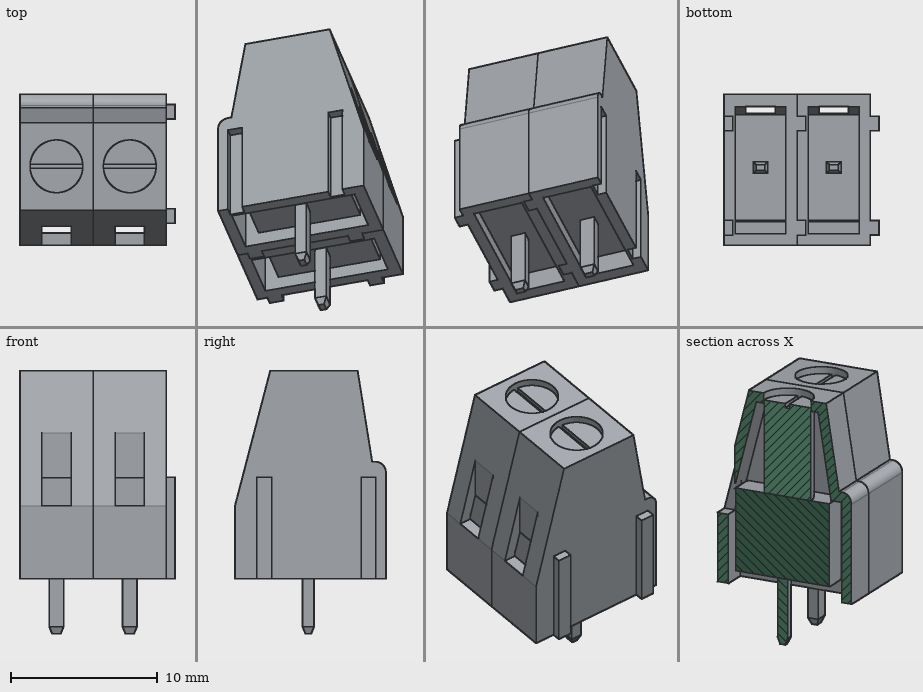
import cadquery as cq
import math


pole_count = 2
pitch = 5.0

depth = 10.3
height = 14.2
front_height = 5.0
top_front = 2.4
top_back = 8.37
step_back = 9.36
step_height = 8.0
step_radius = 0.75
wall = 0.77
lower_front_wall = 0.85

window_width = 2.0
window_depth = 1.29

rib_width = 1.0
rib_thickness = 0.6
rib_height = 6.93
rib_centers = (2.0, 9.1)

screw_diameter = 3.6
screw_recess = 0.5
slot_width = 0.3
slot_depth = 0.3

clamp_front = 1.4
clamp_bottom = 1.0
clamp_top = 7.0
pin_width = 1.0
pin_depth = 0.8
pin_length = 3.75
pin_tip_length = 0.5
pin_tip_inset = 0.2

pole_center = pitch / 2
pin_y = 5.0
screw_y = (top_front + top_back) / 2
screw_top = height - screw_recess
front_slope = (height - front_height) / top_front
back_slope = (height - step_height) / (step_back - top_back)
window_top = front_height + window_depth * front_slope


def box(x_size, y_size, z_size, x, y, z):
    """Box centred on x and y, standing on z."""
    block = cq.Workplane("XY").box(x_size, y_size, z_size, centered=(True, True, False))
    return block.translate((x, y, z))


def side_profile():
    """Outline of the housing in the YZ plane, with its rounded back shoulder."""
    return (
        cq.Workplane("YZ")
        .moveTo(0, 0)
        .lineTo(depth, 0)
        .lineTo(depth, step_height - step_radius)
        .radiusArc((depth - step_radius, step_height), -step_radius)
        .lineTo(step_back, step_height)
        .lineTo(top_back, height)
        .lineTo(top_front, height)
        .lineTo(0, front_height)
        .close()
    )


def make_hollow():
    """Space inside the housing, open at the board face; the lower front wall is the thickest."""
    roof = height - wall
    shoulder = step_height - wall
    front_wall = wall * math.hypot(1, 1 / front_slope)
    back_wall = wall * math.hypot(1, 1 / back_slope)

    def front_y(z):
        return front_wall + (z - front_height) / front_slope

    def back_y(z):
        return step_back - back_wall - (z - step_height) / back_slope

    front_bend = front_height + (lower_front_wall - front_wall) * front_slope
    outline = [
        (lower_front_wall, 0),
        (lower_front_wall, front_bend),
        (front_y(roof), roof),
        (back_y(roof), roof),
        (back_y(shoulder), shoulder),
        (depth - wall, shoulder),
        (depth - wall, 0),
    ]
    return cq.Workplane("YZ", origin=(wall, 0, 0)).polyline(outline).close().extrude(pitch - 2 * wall)


def side_bars(x):
    """The pair of upright bars that serves both as ribs and as grooves."""
    bars = cq.Workplane("XY")
    for y in rib_centers:
        bars = bars.add(box(rib_thickness, rib_width, rib_height, x, y, 0))
    return bars.combine()


def make_housing():
    """Hollow housing of one pole, with its ribs on +X and matching grooves on -X."""
    shell = side_profile().extrude(pitch).cut(make_hollow())

    window = (
        cq.Workplane("YZ")
        .polyline([(0, front_height), (window_depth, front_height), (window_depth, window_top)])
        .close()
        .extrude(window_width / 2, both=True)
        .translate((pole_center, 0, 0))
    )
    screw_hole = (
        cq.Workplane("XY", origin=(pole_center, screw_y, height))
        .circle(screw_diameter / 2)
        .extrude(clamp_top - height)
    )
    return (
        shell.cut(window)
        .cut(screw_hole)
        .cut(side_bars(rib_thickness / 2))
        .union(side_bars(pitch + rib_thickness / 2))
    )


def make_clamp():
    """Clamp block between the side walls, just behind the window."""
    clamp_depth = 2 * (pin_y - clamp_front)
    return box(pitch - 2 * wall, clamp_depth, clamp_top - clamp_bottom, pole_center, pin_y, clamp_bottom)


def make_screw():
    """Slotted screw that stands on the clamp and ends below the top face."""
    body = (
        cq.Workplane("XY", origin=(pole_center, screw_y, clamp_top))
        .circle(screw_diameter / 2)
        .extrude(screw_top - clamp_top)
    )
    slot = box(screw_diameter, slot_width, slot_depth, pole_center, screw_y, screw_top - slot_depth)
    return body.cut(slot)


def make_pin():
    """Rectangular pin under the clamp, with a tapered tip."""
    shank_bottom = pin_tip_length - pin_length
    shank = box(pin_width, pin_depth, clamp_bottom - shank_bottom, pole_center, pin_y, shank_bottom)
    tip = (
        cq.Workplane("XY", origin=(pole_center, pin_y, -pin_length))
        .rect(pin_width - 2 * pin_tip_inset, pin_depth - 2 * pin_tip_inset)
        .workplane(offset=pin_tip_length)
        .rect(pin_width, pin_depth)
        .loft(ruled=True)
    )
    return shank.union(tip)


bodies = []
for pole in range(pole_count):
    for part in (make_housing(), make_clamp(), make_screw(), make_pin()):
        bodies += part.translate((pole * pitch, 0, 0)).solids().vals()

result = cq.Compound.makeCompound(bodies)